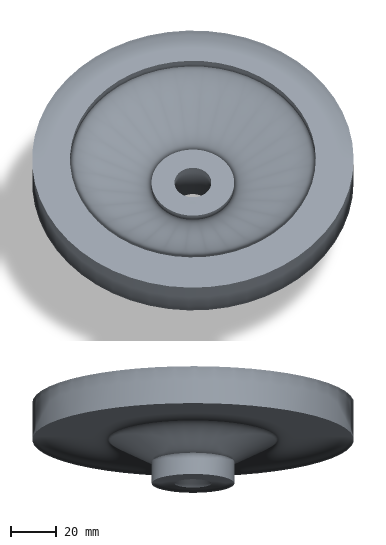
import cadquery as cq

outer_diameter = 140.0
total_height = 36.0

rim_height = 16.5
rim_inner_diameter = 107.0
rim_lip_depth = 4.0

hub_diameter = 36.0
bore_diameter = 16.0
hub_top_depth = 17.0

web_outer_diameter = 74.0
web_bottom_height = 9.5
web_top_height = 16.0

rim_bottom = total_height - rim_height
hub_top = total_height - hub_top_depth
outer_radius = outer_diameter / 2
rim_inner_radius = rim_inner_diameter / 2
hub_radius = hub_diameter / 2
bore_radius = bore_diameter / 2
web_outer_radius = web_outer_diameter / 2


def wheel_body():
    """Revolve the half section (radius, height) about the Z axis."""
    half_section = [
        (bore_radius, 0),
        (hub_radius, 0),
        (hub_radius, web_bottom_height),
        (web_outer_radius, rim_bottom),
        (outer_radius, rim_bottom),
        (outer_radius, total_height),
        (rim_inner_radius, total_height),
        (rim_inner_radius, total_height - rim_lip_depth),
        (hub_radius, web_top_height),
        (hub_radius, hub_top),
        (bore_radius, hub_top),
    ]
    axis_start = (0, 0, 0)
    axis_end = (0, 1, 0)
    return cq.Workplane("XZ").polyline(half_section).close().revolve(360, axis_start, axis_end)


result = wheel_body()